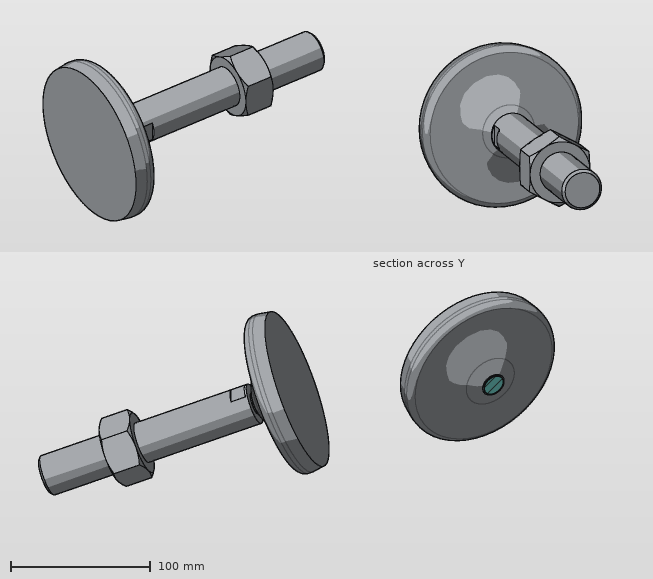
import cadquery as cq
import math

total_length = 196.0

base_diameter = 120.0
underside_diameter = 117.2
taper_height = 8.8
rim_top = 12.0
rim_round_radius = 5.5
rim_round_angle = math.radians(75)
dome_height = 32.0
dome_top_radius = 8.8
dome_shoulder = (19.6, 27.2)
dome_hollow_mid = (35.3, 21.0)

stud_diameter = 30.0
stud_start = 33.1
stud_chamfer = 2.0
neck_diameter = 15.7
flat_spacing = 26.0
flat_start = 34.7
flat_length = 11.2

nut_width = 45.0
nut_start = 120.7
nut_thickness = 24.0
nut_chamfer_angle = math.radians(30)

stud_radius = stud_diameter / 2


def cylinder(diameter, start, length):
    """Round bar along +Y."""
    return cq.Workplane("XZ", origin=(0, start, 0)).circle(diameter / 2).extrude(-length)


def turned(profile):
    """Solid of revolution about Y from a closed (radius, height) profile."""
    return profile.revolve(360, (0, 0, 0), (0, 1, 0))


def make_base():
    rim_radius = base_diameter / 2
    round_center = rim_radius - rim_round_radius

    def rim_point(angle):
        return (
            round_center + rim_round_radius * math.cos(angle),
            rim_top + rim_round_radius * math.sin(angle),
        )

    profile = (
        cq.Workplane("XY")
        .lineTo(underside_diameter / 2, 0)
        .lineTo(rim_radius, taper_height)
        .lineTo(rim_radius, rim_top)
        .threePointArc(rim_point(rim_round_angle / 2), rim_point(rim_round_angle))
        .threePointArc(dome_hollow_mid, dome_shoulder)
        .tangentArcPoint((dome_top_radius, dome_height), relative=False)
        .lineTo(0, dome_height)
        .close()
    )
    return turned(profile)


def make_stud():
    stud = cylinder(stud_diameter, stud_start, total_length - stud_start)
    stud = stud.faces(">Y").chamfer(stud_chamfer)
    cut_depth = stud_radius
    for side in (-1, 1):
        flat_cut = cq.Workplane("XY").box(cut_depth, flat_length, stud_diameter).translate(
            (side * (flat_spacing + cut_depth) / 2, flat_start + flat_length / 2, 0)
        )
        stud = stud.cut(flat_cut)
    return stud


def make_nut():
    corner_radius = nut_width / math.sqrt(3)
    corners = [
        (corner_radius * math.sin(math.radians(60 * i)), corner_radius * math.cos(math.radians(60 * i)))
        for i in range(6)
    ]
    hexagon = cq.Workplane("XZ", origin=(0, nut_start, 0)).polyline(corners).close().extrude(-nut_thickness)

    face_radius = nut_width / 2
    chamfer_height = (corner_radius - face_radius) * math.tan(nut_chamfer_angle)
    nut_end = nut_start + nut_thickness
    envelope = turned(
        cq.Workplane("XY").polyline([
            (0, nut_start),
            (face_radius, nut_start),
            (corner_radius, nut_start + chamfer_height),
            (corner_radius, nut_end - chamfer_height),
            (face_radius, nut_end),
            (0, nut_end),
        ]).close()
    )
    return hexagon.intersect(envelope)


neck = cylinder(neck_diameter, dome_height, stud_start - dome_height)

result = make_base().union(neck).union(make_stud()).union(make_nut())